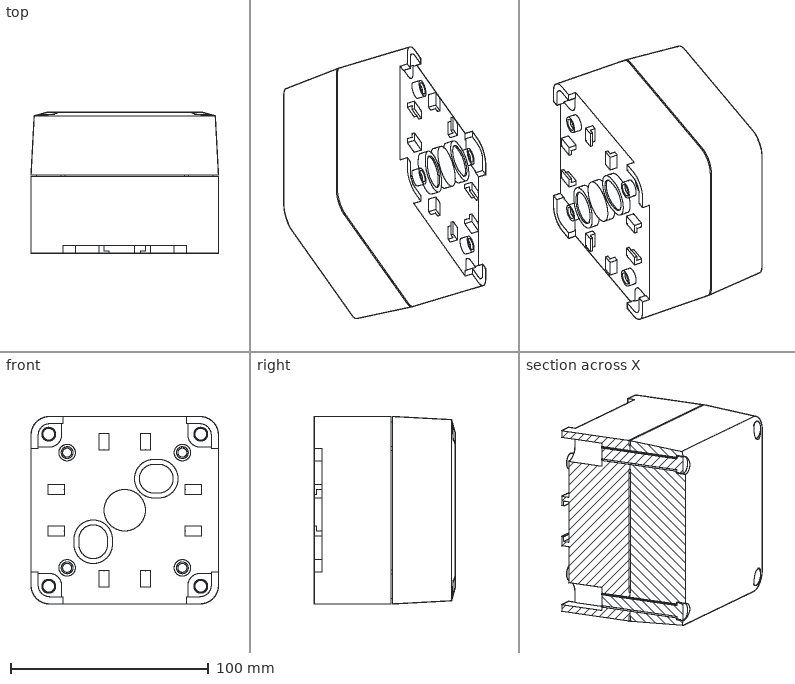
import cadquery as cq

WIDTH = 95.0
DEPTH = 71.5
CORNER_R = 9.5

FOOT_HEIGHT = 4.0
LID_HEIGHT = 31.9
SEAL_GAP = 0.7
LID_RIM = DEPTH - LID_HEIGHT
BASE_RIM = LID_RIM - SEAL_GAP

CROWN_HEIGHT = 1.9
CROWN_EDGE = DEPTH - CROWN_HEIGHT
WALL_DRAFT = 1.6
CROWN_INSET = 6.8

FOOT_LENGTH = 16.3
FOOT_WALL = 3.7
POCKET_INNER_EDGE = 31.9
POCKET_DEPTH = 19.0

SCREW_POS = 38.5
PILLAR_D = 12.5
SCREW_HOLE_D = 7.0
SCREW_D = 6.0
HEAD_BORE_D = 9.1
HEAD_D = 8.8
HEAD_HEIGHT = 3.8
HEAD_RECESS = 1.3
HEAD_TOP = DEPTH - HEAD_RECESS
HEAD_SEAT = HEAD_TOP - HEAD_HEIGHT

SEAL_HALF_WIDTH = 43.7
SEAL_CORNER_R = 2.9
SEAL_SCOOP_R = 8.3

BOSS_POS = 29.2
BOSS_D = 8.4
BOSS_HOLE_D = 6.0
BOSS_HOLE_END_D = 4.6
BOSS_HOLE_DEPTH = 1.0

CLIP_LENGTH = 8.4
CLIP_WIDTH = 5.0
CLIP_STEM = 2.6
CLIP_LIP = 1.3
CLIP_RADIAL = 34.8
CLIP_SIDE = 10.5

DISC_D = 21.0
PAD_POS = 16.0
PAD_WIDTH = 19.5
PAD_STRAIGHT = 2.6
PAD_RIM = 2.5
PAD_RECESS = 0.8

CORNERS = [(sx, sz) for sx in (-1, 1) for sz in (-1, 1)]


def section(y):
    """Sketch plane at height y whose local axes are X and Z; positive extrusion goes toward -Y."""
    return cq.Workplane("XZ", origin=(0, y, 0))


def slab(y_start, y_end, sketch):
    """Extrude a sketch, given as a function of the plane, between two Y levels."""
    return sketch(section(y_end)).extrude(y_end - y_start)


def rod(x, z, diameter, y_start, y_end):
    return slab(y_start, y_end, lambda plane: plane.center(x, z).circle(diameter / 2))


def box(x_range, y_range, z_range):
    low, high = zip(x_range, y_range, z_range)
    size = [b - a for a, b in zip(low, high)]
    return cq.Workplane("XY").box(*size, centered=False).translate(low)


def rounded_square(half_width):
    side = 2 * half_width
    return cq.Sketch().rect(side, side).vertices().fillet(CORNER_R)


def tapered_block(y_start, half_start, y_end, half_end):
    """Rounded square block whose corner radius stays the same while its sides lean in."""
    return (
        section(y_start)
        .placeSketch(
            rounded_square(half_start),
            rounded_square(half_end).moved(cq.Location(cq.Vector(0, 0, y_start - y_end))),
        )
        .loft()
    )


def mirrored(body, sx, sz):
    """Move a body built in the (+X, +Z) quadrant to the quadrant with the given signs."""
    if sx < 0:
        body = body.mirror("YZ")
    if sz < 0:
        body = body.mirror("XY")
    return body


def corner_pocket(sx, sz):
    """Pocket in the (+X, +Z) quadrant, mirrored into the requested corner."""
    outer_edge = WIDTH / 2 - FOOT_WALL
    size = outer_edge - POCKET_INNER_EDGE
    middle = (outer_edge + POCKET_INNER_EDGE) / 2
    pocket = slab(
        0, FOOT_HEIGHT + POCKET_DEPTH, lambda plane: plane.center(middle, middle).rect(size, size)
    )
    pocket = pocket.edges("|Y and >X and >Z").fillet(CORNER_R - FOOT_WALL)
    pocket = pocket.edges("|Y and <X and <Z").fillet(PILLAR_D / 2)
    return mirrored(pocket, sx, sz)


def corner_foot(sx, sz):
    """L-shaped foot that follows one rounded corner of the base."""
    outer = WIDTH / 2
    inner = outer - FOOT_WALL
    end = outer - FOOT_LENGTH
    y_range = (0, FOOT_HEIGHT)
    foot = box((end, outer), y_range, (end, outer)).edges("|Y and >X and >Z").fillet(CORNER_R)
    opening = box((end, inner), y_range, (end, inner))
    opening = opening.edges("|Y and >X and >Z").fillet(CORNER_R - FOOT_WALL)
    return mirrored(foot.cut(opening), sx, sz)


def mounting_boss(x, z):
    boss = rod(x, z, BOSS_D, 0, FOOT_HEIGHT)
    hole = cq.Solid.makeCone(
        BOSS_HOLE_D / 2, BOSS_HOLE_END_D / 2, BOSS_HOLE_DEPTH, cq.Vector(x, 0, z), cq.Vector(0, 1, 0)
    )
    return boss.cut(cq.Workplane(hole))


def hook_clip(quarter_turn, side):
    """Hook whose lip points toward the middle of the side that carries it."""
    outer = CLIP_SIDE + CLIP_WIDTH / 2
    inner = CLIP_SIDE - CLIP_WIDTH / 2
    radial = (CLIP_RADIAL - CLIP_LENGTH / 2, CLIP_RADIAL + CLIP_LENGTH / 2)
    stem = box((outer - CLIP_STEM, outer), (0, FOOT_HEIGHT), radial)
    lip = box((inner, outer), (0, CLIP_LIP), radial)
    clip = mirrored(stem.union(lip), side, 1)
    return clip.rotate((0, 0, 0), (0, 1, 0), 90 * quarter_turn)


def oval_pad(sign, angle):
    def oval(width):
        return lambda plane: plane.center(sign * PAD_POS, sign * PAD_POS).slot2D(
            width + PAD_STRAIGHT, width, angle
        )

    pad = slab(0, FOOT_HEIGHT, oval(PAD_WIDTH))
    recess = slab(0, PAD_RECESS, oval(PAD_WIDTH - 2 * PAD_RIM))
    return pad.cut(recess)


def make_base():
    base = slab(FOOT_HEIGHT, BASE_RIM, lambda plane: plane.rect(WIDTH, WIDTH))
    base = base.edges("|Y").fillet(CORNER_R)
    for sx, sz in CORNERS:
        x, z = sx * SCREW_POS, sz * SCREW_POS
        base = base.union(corner_foot(sx, sz)).cut(corner_pocket(sx, sz))
        base = base.union(rod(x, z, PILLAR_D, BASE_RIM, LID_RIM))
        base = base.cut(rod(x, z, SCREW_HOLE_D, FOOT_HEIGHT, LID_RIM))
        base = base.union(mounting_boss(sx * BOSS_POS, sz * BOSS_POS))
    for quarter_turn in range(4):
        for side in (-1, 1):
            base = base.union(hook_clip(quarter_turn, side))
    base = base.union(rod(0, 0, DISC_D, 0, FOOT_HEIGHT))
    base = base.union(oval_pad(1, 0))
    return base.union(oval_pad(-1, 90))


def make_lid():
    rim_half = WIDTH / 2
    edge_half = rim_half - WALL_DRAFT
    walls = tapered_block(LID_RIM, rim_half, CROWN_EDGE, edge_half)
    crown = tapered_block(CROWN_EDGE, edge_half, DEPTH, edge_half - CROWN_INSET)
    lid = walls.union(crown)
    for sx, sz in CORNERS:
        x, z = sx * SCREW_POS, sz * SCREW_POS
        lid = lid.cut(rod(x, z, SCREW_HOLE_D, LID_RIM, HEAD_SEAT))
        lid = lid.cut(rod(x, z, HEAD_BORE_D, HEAD_SEAT, DEPTH))
    return lid


def make_seal():
    """Plate between the rims, scooped out around the four pillars."""
    side = 2 * SEAL_HALF_WIDTH
    arm = 2 * (SCREW_POS - SEAL_SCOOP_R)
    upright = slab(BASE_RIM, LID_RIM, lambda plane: plane.rect(arm, side))
    across = slab(BASE_RIM, LID_RIM, lambda plane: plane.rect(side, arm))
    seal = upright.union(across)
    seal = seal.edges("|Y and (>X or <X or >Z or <Z)").fillet(SEAL_CORNER_R)
    inner_corners = cq.selectors.BoxSelector(
        (-SCREW_POS, 0, -SCREW_POS), (SCREW_POS, DEPTH, SCREW_POS)
    )
    return seal.edges("|Y").edges(inner_corners).fillet(SEAL_SCOOP_R)


def make_screw(x, z):
    """Screw with its head in the lid counterbore and its end level with the pocket floor."""
    head = rod(x, z, HEAD_D, HEAD_SEAT, HEAD_TOP)
    return head.union(rod(x, z, SCREW_D, FOOT_HEIGHT + POCKET_DEPTH, HEAD_SEAT))


base = make_base()
lid = make_lid()
seal = make_seal()
screws = [make_screw(sx * SCREW_POS, sz * SCREW_POS) for sx, sz in CORNERS]

result = cq.Compound.makeCompound([base.val(), lid.val(), seal.val(), *[s.val() for s in screws]])